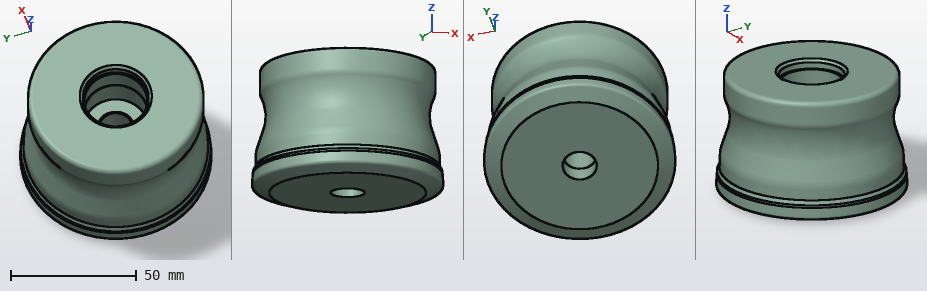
import cadquery as cq
import math

overall_height = 50.8
cutter_radius = 38.1

cutter_height = 7.3
face_radius = 31.15
rim_height = 3.35
rim_round = 1.4
face_cone_angle = math.radians(18.5)
rim_taper_angle = math.radians(4)
rim_taper_end_z = rim_height + rim_round * math.sin(rim_taper_angle)
rim_taper_end_r = cutter_radius - rim_round * (1 - math.cos(rim_taper_angle))
seam_radius = rim_taper_end_r - (cutter_height - rim_taper_end_z) * math.tan(rim_taper_angle)

flange_bevel_width = 0.2
flange_bevel_height = 0.3
flange_chamfer_base_radius = 37.5
flange_chamfer_base_height = 8.7
flange_chamfer_top_radius = 36.95
flange_chamfer_top_height = 9.8
flange_base_radius = flange_chamfer_base_radius + flange_bevel_width
flange_base_height = flange_chamfer_base_height - flange_bevel_height
flange_top_radius = flange_chamfer_top_radius - flange_bevel_width
flange_top_height = flange_chamfer_top_height + flange_bevel_height
skirt_base_height = 10.5

skirt_radius = 36.65
skirt_blend_radius = 9.5
skirt_cone_angle = math.radians(18)
neck_radius = 32.6
neck_height = 31.5
neck_arc_radius = 18.6
head_radius = 35.0
head_blend_radius = 4.65
head_cone_angle = math.radians(24)
top_round = 2.0

mouth_radius = 13.1
mouth_depth = 3.9
mouth_chamfer = 1.2
bore_radius = 12.5
bore_chamfer = 0.15
bore_depth = 25.15
relief_depth = 12.9
relief_taper_length = 1.0
relief_radius = 12.9
bolt_hole_radius = 6.8
bolt_hole_chamfer = 0.4


def revolve_profile(profile):
    return profile.close().revolve(360, (0, 0, 0), (0, 1, 0))


def waist_side(angle, cylinder_radius, blend_radius, direction):
    """Points from the end of the waist arc to a cylinder; direction is +1 upward, -1 downward.

    Waist arc, straight cone and blend arc are tangent to each other and to the cylinder.
    """
    arc_end_r = neck_radius + neck_arc_radius * (1 - math.cos(angle))
    arc_end_z = neck_height + direction * neck_arc_radius * math.sin(angle)
    blend_center_r = cylinder_radius - blend_radius
    cone_end_r = blend_center_r + blend_radius * math.cos(angle)
    cone_end_z = arc_end_z + direction * (cone_end_r - arc_end_r) / math.tan(angle)
    blend_end_z = cone_end_z + direction * blend_radius * math.sin(angle)
    blend_mid = (
        blend_center_r + blend_radius * math.cos(angle / 2),
        blend_end_z - direction * blend_radius * math.sin(angle / 2),
    )
    return (arc_end_r, arc_end_z), (cone_end_r, cone_end_z), blend_mid, (cylinder_radius, blend_end_z)


def make_cutter():
    cone_end_r = cutter_radius - rim_round * (1 - math.sin(face_cone_angle))
    cone_end_z = rim_height - rim_round * math.cos(face_cone_angle)
    profile = (
        cq.Workplane("XZ")
        .moveTo(bolt_hole_radius, 0)
        .lineTo(face_radius, 0)
        .lineTo(cone_end_r, cone_end_z)
        .threePointArc((cutter_radius, rim_height), (rim_taper_end_r, rim_taper_end_z))
        .lineTo(seam_radius, cutter_height)
        .lineTo(bolt_hole_radius, cutter_height)
    )
    return revolve_profile(profile)


def make_holder_blank():
    skirt_arc, skirt_cone, skirt_mid, skirt_end = waist_side(
        skirt_cone_angle, skirt_radius, skirt_blend_radius, -1
    )
    head_arc, head_cone, head_mid, head_end = waist_side(head_cone_angle, head_radius, head_blend_radius, 1)
    profile = (
        cq.Workplane("XZ")
        .moveTo(0, cutter_height)
        .lineTo(seam_radius, cutter_height)
        .lineTo(flange_base_radius, flange_base_height)
        .lineTo(flange_chamfer_base_radius, flange_chamfer_base_height)
        .lineTo(flange_chamfer_top_radius, flange_chamfer_top_height)
        .lineTo(flange_top_radius, flange_top_height)
        .lineTo(skirt_radius, skirt_base_height)
        .lineTo(*skirt_end)
        .threePointArc(skirt_mid, skirt_cone)
        .lineTo(*skirt_arc)
        .threePointArc((neck_radius, neck_height), head_arc)
        .lineTo(*head_cone)
        .threePointArc(head_mid, head_end)
        .lineTo(head_radius, overall_height)
        .lineTo(0, overall_height)
    )
    return revolve_profile(profile).faces(">Z").edges().fillet(top_round)


def make_bore():
    mouth_floor = overall_height - mouth_depth
    relief_top = overall_height - relief_depth
    bore_floor = overall_height - bore_depth
    profile = (
        cq.Workplane("XZ")
        .moveTo(0, overall_height)
        .lineTo(mouth_radius + mouth_chamfer, overall_height)
        .lineTo(mouth_radius, overall_height - mouth_chamfer)
        .lineTo(mouth_radius, mouth_floor)
        .lineTo(bore_radius + bore_chamfer, mouth_floor)
        .lineTo(bore_radius, mouth_floor - bore_chamfer)
        .lineTo(bore_radius, relief_top)
        .lineTo(relief_radius, relief_top - relief_taper_length)
        .lineTo(relief_radius, bore_floor)
        .lineTo(bolt_hole_radius + bolt_hole_chamfer, bore_floor)
        .lineTo(bolt_hole_radius, bore_floor - bolt_hole_chamfer)
        .lineTo(bolt_hole_radius, cutter_height)
        .lineTo(0, cutter_height)
    )
    return revolve_profile(profile)


cutter = make_cutter()
holder = make_holder_blank().cut(make_bore())

result = cq.Compound.makeCompound([holder.val(), cutter.val()])